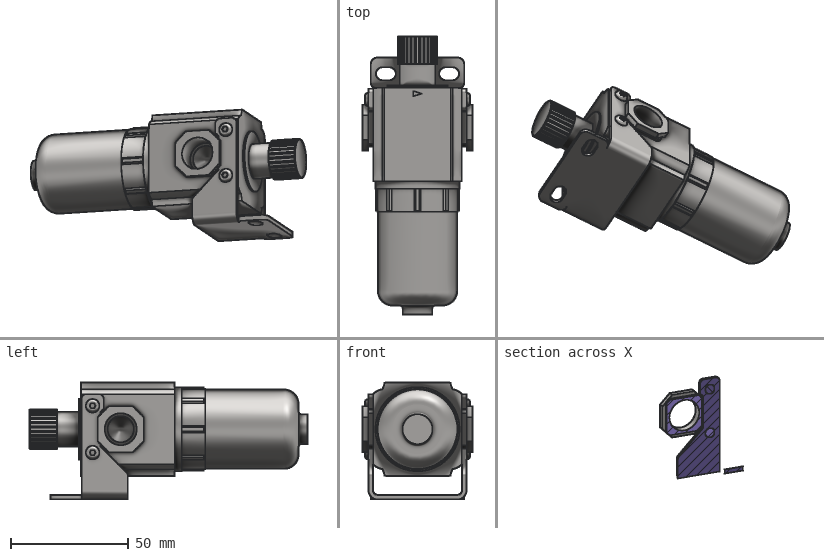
import cadquery as cq
import math


housing_top = 17.0
housing_bottom = -23.0
housing_half_width = 19.0
side_face_half_height = 14.9
shoulder_x, shoulder_z = 15.0, 17.1
shoulder_mid_x, shoulder_mid_z = 17.2, 16.35
slab_half_width = 14.1
slab_top_z = 20.0
slab_bevel_width = 0.8
slab_bevel_height = 0.12
slab_wall_mid_x, slab_wall_mid_z = 14.45, 18.4

arrow_y = 14.5
arrow_length = 3.5
arrow_width = 2.2
arrow_depth = 0.1

port_face_x = 23.5
port_half_width = 9.8
port_corner_cut = 4.6
neck_half_width = 8.25
neck_corner_cut = 1.4
port_bore_diameter = 13.7
port_bore_depth = 12.0
port_cone_diameter = 11.2
port_cone_depth = 3.3

undercut_radius = 12.6
undercut_height = 0.4
flange_radius = 13.0
flange_top = housing_top + 1.0
stem_radius = 7.5
knob_radius = 8.5
knob_bottom = 27.0
knob_top = 39.0
knob_chamfer = 0.3
knurl_count = 28
knurl_width = 0.8
knurl_depth = 0.4

collar_radius = 18.0
collar_end = housing_bottom - 3.0
ring_radius = 17.2
ring_end = -36.0
bowl_radius = 17.0
bowl_end = -76.0
bowl_edge_radius = 6.4
drain_radius = 6.4
drain_root_radius = 1.1
drain_end = -79.8
rib_count = 8
rib_radius = 17.8
rib_root_radius = bowl_radius - 1.0
rib_base_half_width = 1.6
rib_top_half_width = 0.8
rib_end = ring_end + 0.5

bracket_thickness = 2.0
bracket_outer_x = housing_half_width + bracket_thickness
bracket_bottom_z = -30.0
bracket_top_z = 15.0
bend_radius = 2.0
leg_top_y = 16.7
leg_bottom_y = -3.1
ear_bottom_y = 7.3
leg_corner_radius = 2.0
port_relief_y = 8.7
relief_diagonal = 16.0
tab_half_width = 20.0
tab_end_y = 30.0
tab_outer_radius = 3.0
tab_inner_radius = 2.6
slot_x = 13.5
slot_y = 23.0
slot_length = 8.4
slot_width = 5.4

screw_y = 12.0
screw_half_spacing = 10.0
screw_head_radius = 2.9
screw_head_height = 1.5
screw_dome_face_radius = 1.3
screw_dome_bulge = 0.35
screw_shank_diameter = 4.0
screw_shank_length = 8.0
screw_tip_x = bracket_outer_x - screw_shank_length
socket_across_flats = 2.2
socket_depth = 0.8
socket_turn = 30

side_signs = (1, -1)


def octagon_prism(half_width, corner_cut, start_x, end_x):
    """Square prism along X with its four long corners cut off."""
    prism = cq.Workplane("YZ").workplane(offset=start_x).rect(2 * half_width, 2 * half_width)
    return prism.extrude(end_x - start_x).edges("|X").chamfer(corner_cut)


def mirrored(body):
    """The same body on the -X side."""
    return body.mirror("YZ")


def both_sides(body):
    return body.union(mirrored(body))


def screw_cylinders():
    """Shank-sized cylinders at the four screw places."""
    cylinders = (
        cq.Workplane("YZ")
        .workplane(offset=screw_tip_x)
        .pushPoints([(screw_y, sign * screw_half_spacing) for sign in side_signs])
        .circle(screw_shank_diameter / 2)
        .extrude(screw_shank_length)
    )
    return both_sides(cylinders)


def housing_block():
    """Block with a raised slab above and below, bevelled edges, hollow slab walls and rounded shoulders."""
    right_half = (
        cq.Workplane("XZ", origin=(0, housing_top, 0))
        .moveTo(0, slab_top_z)
        .lineTo(slab_half_width - slab_bevel_width, slab_top_z)
        .lineTo(slab_half_width, slab_top_z - slab_bevel_height)
        .threePointArc((slab_wall_mid_x, slab_wall_mid_z), (shoulder_x, shoulder_z))
        .threePointArc((shoulder_mid_x, shoulder_mid_z), (housing_half_width, side_face_half_height))
        .lineTo(housing_half_width, 0)
        .lineTo(0, 0)
        .close()
        .extrude(housing_top - housing_bottom)
    )
    upper = both_sides(right_half)
    return upper.union(upper.mirror("XY")).clean()


def port_bosses():
    neck = octagon_prism(neck_half_width, neck_corner_cut, housing_half_width, bracket_outer_x)
    plate = octagon_prism(port_half_width, port_corner_cut, bracket_outer_x, port_face_x)
    return both_sides(neck.union(plate))


def port_bores():
    """Blind bores, each ending in a smaller drill cone."""
    bore_end = port_face_x - port_bore_depth
    bore = (
        cq.Workplane("XY")
        .moveTo(port_face_x, 0)
        .lineTo(port_face_x, port_bore_diameter / 2)
        .lineTo(bore_end, port_bore_diameter / 2)
        .lineTo(bore_end, port_cone_diameter / 2)
        .lineTo(bore_end - port_cone_depth, 0)
        .close()
        .revolve(360, (0, 0, 0), (1, 0, 0))
    )
    return both_sides(bore)


def adjuster():
    """Flange, stem and knurled knob turned about Y."""
    turned = (
        cq.Workplane("XY")
        .moveTo(0, housing_top)
        .lineTo(undercut_radius, housing_top)
        .lineTo(undercut_radius, housing_top + undercut_height)
        .lineTo(flange_radius, housing_top + undercut_height)
        .lineTo(flange_radius, flange_top)
        .lineTo(stem_radius, flange_top)
        .lineTo(stem_radius, knob_bottom)
        .lineTo(knob_radius - knob_chamfer, knob_bottom)
        .lineTo(knob_radius, knob_bottom + knob_chamfer)
        .lineTo(knob_radius, knob_top - knob_chamfer)
        .lineTo(knob_radius - knob_chamfer, knob_top)
        .lineTo(0, knob_top)
        .close()
        .revolve(360, (0, 0, 0), (0, 1, 0))
    )
    groove_root = knob_radius - knurl_depth
    groove = (
        cq.Workplane("XZ", origin=(0, knob_top, 0))
        .polyline([
            (0, groove_root),
            (knurl_width, groove_root + 2 * knurl_depth),
            (-knurl_width, groove_root + 2 * knurl_depth),
        ])
        .close()
        .extrude(knob_top - knob_bottom)
    )
    pitch = 360 / knurl_count
    for index in range(knurl_count):
        turned = turned.cut(groove.rotate((0, 0, 0), (0, 1, 0), (index + 0.5) * pitch))
    return turned


def flow_arrow():
    """Small triangle pointing along +X."""
    return (
        cq.Workplane("XY", origin=(0, arrow_y, slab_top_z - arrow_depth))
        .polyline([
            (-arrow_length / 2, -arrow_width / 2),
            (arrow_length / 2, 0),
            (-arrow_length / 2, arrow_width / 2),
        ])
        .close()
        .extrude(arrow_depth)
    )


def make_housing():
    body = housing_block().union(port_bosses()).union(adjuster())
    return body.cut(port_bores()).cut(screw_cylinders()).cut(flow_arrow())


def bowl_rib():
    """Trapezoid rib on the ring, on the +Z side."""
    return (
        cq.Workplane("XZ", origin=(0, collar_end, 0))
        .polyline([
            (-rib_base_half_width, rib_root_radius),
            (rib_base_half_width, rib_root_radius),
            (rib_base_half_width, bowl_radius),
            (rib_top_half_width, rib_radius),
            (-rib_top_half_width, rib_radius),
            (-rib_base_half_width, bowl_radius),
        ])
        .close()
        .extrude(collar_end - rib_end)
    )


def make_bowl():
    """Collar, ribbed ring, rounded bowl and drain boss, joined to the housing's lower face."""
    edge_bend = bowl_edge_radius * (1 - math.sqrt(0.5))
    root_bend = drain_root_radius * (1 - math.sqrt(0.5))
    bowl = (
        cq.Workplane("XY")
        .moveTo(0, housing_bottom)
        .lineTo(collar_radius, housing_bottom)
        .lineTo(collar_radius, collar_end)
        .lineTo(ring_radius, collar_end)
        .lineTo(ring_radius, ring_end)
        .lineTo(bowl_radius, ring_end)
        .lineTo(bowl_radius, bowl_end + bowl_edge_radius)
        .threePointArc(
            (bowl_radius - edge_bend, bowl_end + edge_bend),
            (bowl_radius - bowl_edge_radius, bowl_end),
        )
        .lineTo(drain_radius + drain_root_radius, bowl_end)
        .threePointArc(
            (drain_radius + root_bend, bowl_end - root_bend),
            (drain_radius, bowl_end - drain_root_radius),
        )
        .lineTo(drain_radius, drain_end)
        .lineTo(0, drain_end)
        .close()
        .revolve(360, (0, 0, 0), (0, 1, 0))
    )
    rib = bowl_rib()
    for index in range(rib_count):
        bowl = bowl.union(rib.rotate((0, 0, 0), (0, 1, 0), index * 360 / rib_count))
    return bowl


def bracket_channel():
    """U-shaped sheet with rounded bends, open upward."""
    height = bracket_top_z - bracket_bottom_z
    length = leg_top_y - leg_bottom_y
    middle_y = (leg_top_y + leg_bottom_y) / 2
    outer = (
        cq.Workplane("XY", origin=(0, middle_y, bracket_bottom_z))
        .rect(2 * bracket_outer_x, length)
        .extrude(height)
        .edges("|Y and <Z")
        .fillet(bend_radius + bracket_thickness)
    )
    inner = (
        cq.Workplane("XY", origin=(0, middle_y, bracket_bottom_z + bracket_thickness))
        .rect(2 * housing_half_width, length)
        .extrude(height)
        .edges("|Y and <Z")
        .fillet(bend_radius)
    )
    return outer.cut(inner)


def bracket_leg_outline():
    """Side shape of the legs: a screw ear, a relief around the port and a sloped lower edge."""
    leg = (
        cq.Workplane("YZ")
        .workplane(offset=-bracket_outer_x)
        .polyline([
            (leg_top_y, bracket_bottom_z),
            (leg_top_y, bracket_top_z),
            (ear_bottom_y, bracket_top_z),
            (ear_bottom_y, relief_diagonal - ear_bottom_y),
            (port_relief_y, relief_diagonal - port_relief_y),
            (port_relief_y, port_relief_y - relief_diagonal),
            (leg_bottom_y, leg_bottom_y - relief_diagonal),
            (leg_bottom_y, bracket_bottom_z),
        ])
        .close()
        .extrude(2 * bracket_outer_x)
    )
    leg = leg.edges("|X and >Z").fillet(leg_corner_radius)
    slope_end = cq.selectors.NearestToPointSelector((0, leg_bottom_y, leg_bottom_y - relief_diagonal))
    return leg.edges("|X").edges(slope_end).fillet(leg_corner_radius)


def mounting_tab():
    """Flat slotted tab that continues the base of the channel along +Y."""
    tab = (
        cq.Workplane("XY", origin=(0, (leg_top_y + tab_end_y) / 2, bracket_bottom_z))
        .rect(2 * tab_half_width, tab_end_y - leg_top_y)
        .extrude(bracket_thickness)
    )
    tab = tab.edges("|Z and >Y").fillet(tab_outer_radius)
    tab = tab.edges("|Z and <Y").fillet(tab_inner_radius)
    slots = (
        cq.Workplane("XY", origin=(0, slot_y, bracket_bottom_z))
        .pushPoints([(sign * slot_x, 0) for sign in side_signs])
        .slot2D(slot_length, slot_width)
        .extrude(bracket_thickness)
    )
    return tab.cut(slots)


def make_bracket():
    legs = bracket_channel().intersect(bracket_leg_outline())
    return legs.union(mounting_tab()).cut(screw_cylinders())


def make_screw(side, z):
    """Dome-head socket screw pointing inward from the given X side."""
    head_top_x = bracket_outer_x + screw_head_height
    dome_mid_x = bracket_outer_x + screw_head_height / 2 + screw_dome_bulge
    dome_mid_radius = (screw_head_radius + screw_dome_face_radius) / 2 + screw_dome_bulge
    screw = (
        cq.Workplane("XY")
        .moveTo(screw_tip_x, 0)
        .lineTo(screw_tip_x, screw_shank_diameter / 2)
        .lineTo(bracket_outer_x, screw_shank_diameter / 2)
        .lineTo(bracket_outer_x, screw_head_radius)
        .threePointArc((dome_mid_x, dome_mid_radius), (head_top_x, screw_dome_face_radius))
        .lineTo(head_top_x, 0)
        .close()
        .revolve(360, (0, 0, 0), (1, 0, 0))
    )
    socket = (
        cq.Workplane("YZ")
        .workplane(offset=head_top_x - socket_depth)
        .polygon(6, socket_across_flats, circumscribed=True)
        .extrude(socket_depth)
        .rotate((0, 0, 0), (1, 0, 0), socket_turn)
    )
    screw = screw.cut(socket).translate((0, screw_y, z))
    return screw if side > 0 else mirrored(screw)


housing = make_housing()
bowl = make_bowl()
bracket = make_bracket()
screws = [
    make_screw(side, sign * screw_half_spacing)
    for side in side_signs
    for sign in side_signs
]

result = cq.Compound.makeCompound([
    housing.val(),
    bowl.val(),
    bracket.val(),
    *[screw.val() for screw in screws],
])